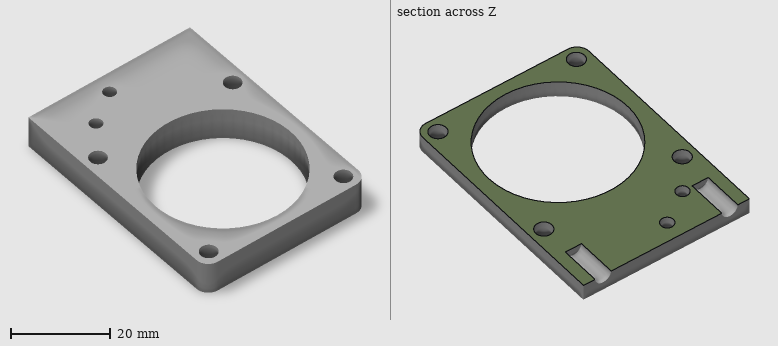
import cadquery as cq

length = 57.0
width = 42.0
thickness = 8.0
corner_radius = 3.0

bore_diameter = 35.0
bore_x = 36.5

screw_diameter = 4.0
screw_x_positions = (18.0, 53.5)
screw_y_offset = 17.5

small_diameter = 3.0
small_hole_centers = [(4.5, -3.55), (10.0, -11.5)]

end_hole_diameter = 4.0
end_hole_y_offset = 16.0
end_hole_depth = 10.0


def through_holes(centers, diameter):
    """Vertical cylinders spanning the plate thickness."""
    return cq.Workplane("XY").pushPoints(centers).circle(diameter / 2).extrude(thickness)


def end_holes():
    """Horizontal cylinders entering the end face at mid thickness."""
    centers = [(side * end_hole_y_offset, thickness / 2) for side in (-1, 1)]
    return cq.Workplane("YZ").pushPoints(centers).circle(end_hole_diameter / 2).extrude(end_hole_depth)


plate = cq.Workplane("XY").box(length, width, thickness, centered=(False, True, False))
plate = plate.edges("|Z and >X").fillet(corner_radius)

screw_centers = [(x, side * screw_y_offset) for x in screw_x_positions for side in (-1, 1)]

result = (
    plate
    .cut(through_holes([(bore_x, 0)], bore_diameter))
    .cut(through_holes(screw_centers, screw_diameter))
    .cut(through_holes(small_hole_centers, small_diameter))
    .cut(end_holes())
)